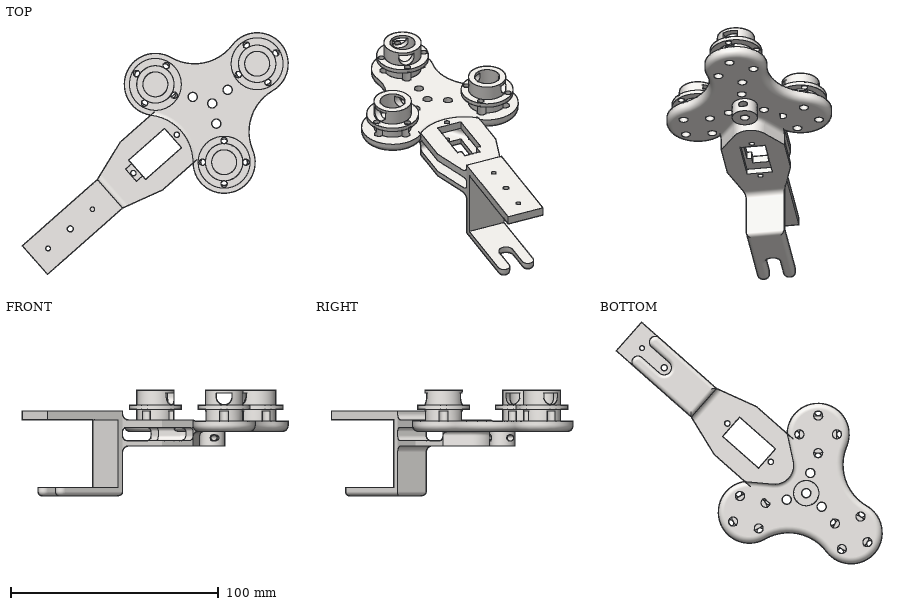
import cadquery as cq
import math

ARM_ANGLE = 41.46

PLATE_THICKNESS = 5.0
PLATE_EDGE_RADIUS = 3.0
LOBE_COUNT = 3
LOBE_PITCH = 360 / LOBE_COUNT
LOBE_SPACING = 50.0
LOBE_DISTANCE = LOBE_SPACING / math.sqrt(3)
LOBE_RADIUS = 15.0
WAIST_DISTANCE = 20.0
WAIST_RADIUS = (
    WAIST_DISTANCE**2 + LOBE_DISTANCE**2 - WAIST_DISTANCE * LOBE_DISTANCE - LOBE_RADIUS**2
) / (2 * LOBE_RADIUS + LOBE_DISTANCE - 2 * WAIST_DISTANCE)
WAIST_CENTER = WAIST_DISTANCE + WAIST_RADIUS
BOLT_RADIUS = 2.15
BOLT_DISTANCE = 9.9

PYLON_HEIGHT = 15.0
PYLON_RADIUS = 9.0
BORE_RADIUS = 6.0
BORE_FLOOR = 5.7
FLANGE_RADIUS = 12.5
FLANGE_BASE = 5.7
FLANGE_THICKNESS = 2.0
FLANGE_HOLE_RADIUS = 1.5
FLANGE_HOLE_DISTANCE = 10.5
RECESS_RADIUS = BOLT_RADIUS
RECESS_HEIGHT = 5.0
HOLES_PER_PYLON = 4
PYLON_TURN = LOBE_PITCH - ARM_ANGLE
WINDOW_RADIUS = 3.75
WINDOW_CENTER_HEIGHT = 11.7
WINDOW_TOP = 13.5

BOSS_RADIUS = 6.1
BOSS_BOTTOM = -12.0
PORT_HALF_WIDTH = 2.15
PORT_HALF_HEIGHT = 1.5
PORT_HEIGHT = -8.0

ARM_TOP = 0.7
ARM_UPPER_THICKNESS = 3.8
ARM_LOWER_THICKNESS = 2.7
ARM_BOTTOM = BOSS_BOTTOM
GAP_TOP = ARM_TOP - ARM_UPPER_THICKNESS
GAP_BOTTOM = ARM_BOTTOM + ARM_LOWER_THICKNESS
ARM_HALF_WIDTH = 15.4
TAPER_START = -45.6
BLOCK_START = -25.8
CAVITY_HALF_WIDTH = 10.0
NOSE_CENTER = -20.2
CAVITY_NOSE_RADIUS = 4.6
OUTER_NOSE_RADIUS = 9.1
GAP_TOP_FILLET = 1.9
GAP_BOTTOM_FILLET = 2.4
NOSE_FILLET = 2.0
ROOT_FILLET = 3.0
STEP_FILLET_WIDTH = 1.9

SERVO_CENTER = -36.7
SERVO_LENGTH = 23.0
SERVO_WIDTH = 12.3
SERVO_SCREW_SPACING = 27.9
SERVO_SCREW_RADIUS = 1.25
NOTCH_LENGTH = 4.0
NOTCH_WIDTH = 7.9

BRACKET_HALF_WIDTH = 9.2
WALL_FACE = -65.7
WALL_THICKNESS = 3.0
BRACKET_TOP = 5.0
BRACKET_BOTTOM = -36.0
LOWER_FINGER_THICKNESS = 4.2
BRACKET_EDGE_RADIUS = 2.0
UPPER_FINGER_END = -113.93
FORK_END = -105.4
FORK_SLOT_RADIUS = 3.45
FINGER_HOLE_CENTER = -91.2
FINGER_HOLE_SPACING = 14.25
FINGER_HOLE_RADIUS = 1.4
FINGER_SIDE_HOLE_RADIUS = 1.1

MARGIN = 10.0
EDGE_CLEARANCE = 0.1


def polar(radius, angle):
    return (radius * math.cos(math.radians(angle)), radius * math.sin(math.radians(angle)))


def cylinder(x, y, radius, bottom, top):
    return cq.Workplane("XY", origin=(x, y, bottom)).circle(radius).extrude(top - bottom)


def block(x_min, x_max, half_width, bottom, top):
    return (
        cq.Workplane("XY", origin=((x_min + x_max) / 2, 0, bottom))
        .rect(x_max - x_min, 2 * half_width)
        .extrude(top - bottom)
    )


def lobed_plate():
    """Three round lobes joined by concave waists, rounded along the lower edge."""
    reach = LOBE_RADIUS / (LOBE_RADIUS + WAIST_RADIUS)

    def tangent_point(lobe_angle, waist_angle):
        lobe = polar(LOBE_DISTANCE, lobe_angle)
        waist = polar(WAIST_CENTER, waist_angle)
        return tuple(a + reach * (b - a) for a, b in zip(lobe, waist))

    outline = cq.Workplane("XY", origin=(0, 0, -PLATE_THICKNESS))
    outline = outline.moveTo(*tangent_point(0, -LOBE_PITCH / 2))
    for index in range(LOBE_COUNT):
        angle = index * LOBE_PITCH
        waist_angle = angle + LOBE_PITCH / 2
        outline = outline.threePointArc(
            polar(LOBE_DISTANCE + LOBE_RADIUS, angle), tangent_point(angle, waist_angle)
        )
        outline = outline.threePointArc(
            polar(WAIST_DISTANCE, waist_angle), tangent_point(angle + LOBE_PITCH, waist_angle)
        )
    plate = outline.close().extrude(PLATE_THICKNESS)
    return plate.faces("<Z").edges().fillet(PLATE_EDGE_RADIUS)


def pylon():
    flange_top = FLANGE_BASE + FLANGE_THICKNESS
    body = cylinder(0, 0, PYLON_RADIUS, 0, PYLON_HEIGHT)
    return body.union(cylinder(0, 0, FLANGE_RADIUS, FLANGE_BASE, flange_top))


def pylon_cuts():
    """Bore, screw holes with recesses below the flange, and the cross window."""
    cuts = cylinder(0, 0, BORE_RADIUS, BORE_FLOOR, PYLON_HEIGHT)
    for index in range(HOLES_PER_PYLON):
        angle = index * 360 / HOLES_PER_PYLON
        x, y = polar(FLANGE_HOLE_DISTANCE, angle)
        cuts = cuts.union(cylinder(x, y, FLANGE_HOLE_RADIUS, 0, FLANGE_BASE + FLANGE_THICKNESS))
        x, y = polar(PYLON_RADIUS, angle)
        cuts = cuts.union(cylinder(x, y, RECESS_RADIUS, -PLATE_THICKNESS, RECESS_HEIGHT))
    window = (
        cq.Workplane("XZ")
        .moveTo(-WINDOW_RADIUS, WINDOW_TOP)
        .lineTo(-WINDOW_RADIUS, WINDOW_CENTER_HEIGHT)
        .threePointArc((0, WINDOW_CENTER_HEIGHT - WINDOW_RADIUS), (WINDOW_RADIUS, WINDOW_CENTER_HEIGHT))
        .lineTo(WINDOW_RADIUS, WINDOW_TOP)
        .close()
        .extrude(FLANGE_RADIUS, both=True)
    )
    return cuts.union(window)


def on_lobes(shape):
    placed = cq.Workplane("XY")
    for index in range(LOBE_COUNT):
        angle = index * LOBE_PITCH
        turned = shape.rotate((0, 0, 0), (0, 0, 1), angle + PYLON_TURN)
        placed = placed.union(turned.translate((*polar(LOBE_DISTANCE, angle), 0)))
    return placed


def nose_touch(corner_y, radius):
    """Point where the line from (BLOCK_START, corner_y) touches the nose circle."""
    dx = BLOCK_START - NOSE_CENTER
    distance = math.hypot(dx, corner_y)
    angle = math.atan2(corner_y, dx) - math.acos(radius / distance)
    return (NOSE_CENTER + radius * math.cos(angle), radius * math.sin(angle))


def nose_profile(points, corner_y, radius):
    """Outline symmetric about X: a straight-sided half followed by the rounded nose."""
    x, y = nose_touch(corner_y, radius)
    half = [*points, (BLOCK_START, corner_y), (x, y)]
    mirrored = [(px, -py) for px, py in reversed(half)]
    return (
        cq.Workplane("XY")
        .polyline(half)
        .threePointArc((NOSE_CENTER + radius, 0), mirrored[0])
        .polyline(mirrored, includeCurrent=False)
        .close()
    )


def arm_prism(bottom, top):
    sides = [(WALL_FACE, BRACKET_HALF_WIDTH), (TAPER_START, ARM_HALF_WIDTH)]
    profile = nose_profile(sides, ARM_HALF_WIDTH, OUTER_NOSE_RADIUS)
    return profile.extrude(top - bottom).translate((0, 0, bottom))


def arm_gap():
    """Space between the arm plates, rounded where it meets the plates."""
    open_side = ARM_HALF_WIDTH + MARGIN
    sides = [(WALL_FACE, open_side), (BLOCK_START, open_side)]
    profile = nose_profile(sides, CAVITY_HALF_WIDTH, CAVITY_NOSE_RADIUS)
    gap = profile.extrude(GAP_TOP - GAP_BOTTOM).translate((0, 0, GAP_BOTTOM))
    gap = gap.faces("<Z").edges().fillet(GAP_BOTTOM_FILLET)
    return gap.faces(">Z").edges().fillet(GAP_TOP_FILLET)


def nose_flare():
    """Concave fillet between the outside of the block and the underside of the lobed plate."""
    bottom = -PLATE_THICKNESS - NOSE_FILLET
    nose_end = NOSE_CENTER + OUTER_NOSE_RADIUS
    wide_side = ARM_HALF_WIDTH + MARGIN
    wide_nose = nose_profile([(TAPER_START, wide_side)], wide_side, OUTER_NOSE_RADIUS + MARGIN)
    free_space = wide_nose.extrude(NOSE_FILLET + MARGIN).translate((0, 0, bottom - MARGIN))
    free_space = free_space.cut(arm_prism(bottom - MARGIN, -PLATE_THICKNESS))
    nose_edges = cq.selectors.BoxSelector(
        (BLOCK_START - EDGE_CLEARANCE, -ARM_HALF_WIDTH, -PLATE_THICKNESS - EDGE_CLEARANCE),
        (nose_end + EDGE_CLEARANCE, ARM_HALF_WIDTH, -PLATE_THICKNESS + EDGE_CLEARANCE),
    )
    free_space = free_space.edges(nose_edges).fillet(NOSE_FILLET)
    flare = block(BLOCK_START, nose_end + NOSE_FILLET, ARM_HALF_WIDTH, bottom, GAP_TOP)
    return flare.cut(free_space)


def root_fillet(height, side):
    """Concave fillet strip between the wall and the arm; side is +1 above, -1 below."""
    bend = ROOT_FILLET * (1 - math.sqrt(0.5))
    return (
        cq.Workplane("XZ")
        .moveTo(WALL_FACE, height)
        .lineTo(WALL_FACE + ROOT_FILLET, height)
        .threePointArc(
            (WALL_FACE + bend, height + side * bend), (WALL_FACE, height + side * ROOT_FILLET)
        )
        .close()
        .extrude(ARM_HALF_WIDTH, both=True)
    )


def step_fillet():
    """Concave strip easing the arm's round end down to the lobed plate."""
    outer_radius = WAIST_RADIUS + STEP_FILLET_WIDTH
    bottom = -PLATE_EDGE_RADIUS / 2
    arc_middle = (WAIST_RADIUS + STEP_FILLET_WIDTH / 2, ARM_TOP / 4)
    strip = (
        cq.Workplane("XZ")
        .moveTo(WAIST_RADIUS, bottom)
        .lineTo(WAIST_RADIUS, ARM_TOP)
        .threePointArc(arc_middle, (outer_radius, 0))
        .lineTo(outer_radius, bottom)
        .close()
        .revolve(360, (0, 0, 0), (0, 1, 0))
        .translate((-WAIST_CENTER, 0, 0))
    )
    return strip.intersect(block(-WAIST_CENTER, 0, ARM_HALF_WIDTH, bottom, ARM_TOP))


def arm():
    lower = arm_prism(ARM_BOTTOM, GAP_TOP).union(nose_flare()).cut(arm_gap())
    round_end = cylinder(-WAIST_CENTER, 0, WAIST_RADIUS, GAP_TOP, ARM_TOP)
    stem = block(WALL_FACE, -WAIST_CENTER, ARM_HALF_WIDTH, GAP_TOP, ARM_TOP)
    upper = arm_prism(GAP_TOP, ARM_TOP).intersect(round_end.union(stem))
    fillets = root_fillet(ARM_TOP, 1).union(root_fillet(ARM_BOTTOM, -1))
    fillets = fillets.intersect(arm_prism(ARM_BOTTOM - MARGIN, ARM_TOP + MARGIN))
    return lower.union(upper).union(fillets).union(step_fillet())


def servo_cuts():
    near_end = SERVO_CENTER - SERVO_LENGTH / 2
    far_end = SERVO_CENTER + SERVO_LENGTH / 2
    cuts = block(near_end, far_end, SERVO_WIDTH / 2, ARM_BOTTOM, ARM_TOP)
    cuts = cuts.union(block(near_end - NOTCH_LENGTH, near_end, NOTCH_WIDTH / 2, GAP_TOP, ARM_TOP))
    for side in (-1, 1):
        x = SERVO_CENTER + side * SERVO_SCREW_SPACING / 2
        cuts = cuts.union(cylinder(x, 0, SERVO_SCREW_RADIUS, ARM_BOTTOM, ARM_TOP))
    return cuts


def lower_fork():
    """Wall and lower finger in one piece, rounded along the whole lower outline."""
    wall_back = WALL_FACE - WALL_THICKNESS
    prong_radius = (BRACKET_HALF_WIDTH - FORK_SLOT_RADIUS) / 2
    prong_center = FORK_END + prong_radius
    outline = (
        cq.Workplane("XY", origin=(0, 0, BRACKET_BOTTOM))
        .moveTo(WALL_FACE, -BRACKET_HALF_WIDTH)
        .lineTo(WALL_FACE, BRACKET_HALF_WIDTH)
        .lineTo(prong_center, BRACKET_HALF_WIDTH)
        .threePointArc((FORK_END, FORK_SLOT_RADIUS + prong_radius), (prong_center, FORK_SLOT_RADIUS))
        .lineTo(FINGER_HOLE_CENTER, FORK_SLOT_RADIUS)
        .threePointArc(
            (FINGER_HOLE_CENTER + FORK_SLOT_RADIUS, 0), (FINGER_HOLE_CENTER, -FORK_SLOT_RADIUS)
        )
        .lineTo(prong_center, -FORK_SLOT_RADIUS)
        .threePointArc((FORK_END, -FORK_SLOT_RADIUS - prong_radius), (prong_center, -BRACKET_HALF_WIDTH))
        .close()
    )
    finger = outline.extrude(LOWER_FINGER_THICKNESS).faces("<Z").edges().fillet(BRACKET_EDGE_RADIUS)
    finger_top = BRACKET_BOTTOM + LOWER_FINGER_THICKNESS
    return finger.union(block(wall_back, WALL_FACE, BRACKET_HALF_WIDTH, finger_top, BRACKET_TOP))


def upper_finger():
    finger = block(UPPER_FINGER_END, WALL_FACE, BRACKET_HALF_WIDTH, ARM_TOP, BRACKET_TOP)
    holes = cylinder(FINGER_HOLE_CENTER, 0, FINGER_HOLE_RADIUS, ARM_TOP, BRACKET_TOP)
    for side in (-1, 1):
        x = FINGER_HOLE_CENTER + side * FINGER_HOLE_SPACING
        holes = holes.union(cylinder(x, 0, FINGER_SIDE_HOLE_RADIUS, ARM_TOP, BRACKET_TOP))
    return finger.cut(holes)


def hub_cuts():
    """Bolt holes through the plate and the side ports of the boss."""
    cuts = cylinder(0, 0, BOLT_RADIUS, BOSS_BOTTOM, 0)
    port = (
        cq.Workplane("YZ", origin=(0, 0, PORT_HEIGHT))
        .ellipse(PORT_HALF_WIDTH, PORT_HALF_HEIGHT)
        .extrude(BOSS_RADIUS)
    )
    for index in range(LOBE_COUNT):
        angle = index * LOBE_PITCH
        cuts = cuts.union(cylinder(*polar(BOLT_DISTANCE, angle), BOLT_RADIUS, -PLATE_THICKNESS, 0))
        cuts = cuts.union(port.rotate((0, 0, 0), (0, 0, 1), angle))
    return cuts


plate = lobed_plate().union(on_lobes(pylon())).cut(on_lobes(pylon_cuts()))
plate = plate.union(cylinder(0, 0, BOSS_RADIUS, BOSS_BOTTOM, -PLATE_THICKNESS))
plate = plate.cut(hub_cuts())
bracket = lower_fork().union(upper_finger())
part = plate.union(arm().cut(servo_cuts())).union(bracket)
result = part.rotate((0, 0, 0), (0, 0, 1), ARM_ANGLE)